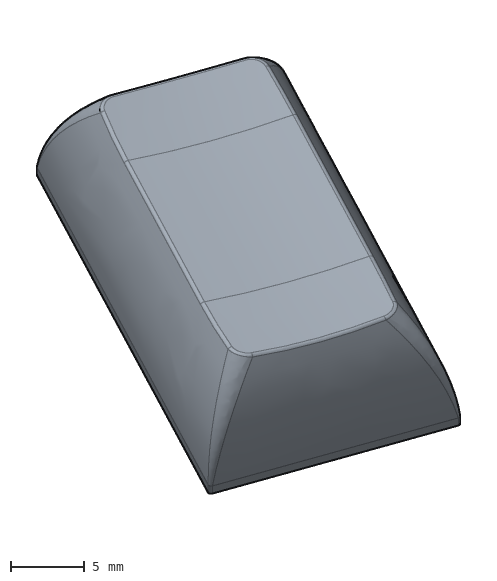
import cadquery as cq
import math

length = 32.55
width = 18.3
skirt_height = 0.78

wall_radius = 15.3
wall_start_lean = math.radians(4)
wall_top = 9.77
section_count = 6

skirt_corner_radius = 0.23
top_corner_radius = 1.4

dish_radius = 55.35
dish_bottom = 8.5
dish_straight_half = 7.15
rim_fillet = 0.33
rim_floor = 8.73


def rounded_section(z):
    """Rounded rectangular outline of the walls at height z."""
    rise = z - skirt_height
    lean = math.asin(math.sin(wall_start_lean) + rise / wall_radius)
    inset = wall_radius * (math.cos(wall_start_lean) - math.cos(lean))
    growth = rise / (wall_top - skirt_height)
    corner = skirt_corner_radius + growth * (top_corner_radius - skirt_corner_radius)
    outline = cq.Sketch().rect(length - 2 * inset, width - 2 * inset).vertices().fillet(corner)
    return outline.moved(cq.Location(cq.Vector(0, 0, z)))


def make_skirt():
    skirt = cq.Workplane("XY").box(length, width, skirt_height, centered=(True, True, False))
    return skirt.edges("|Z").fillet(skirt_corner_radius)


def make_walls():
    step = (wall_top - skirt_height) / (section_count - 1)
    sections = [rounded_section(skirt_height + i * step) for i in range(section_count)]
    return cq.Workplane("XY").placeSketch(*sections).loft()


def make_dish_cutter():
    """Capsule lying along X whose underside forms the dish."""
    diagonal = dish_radius * math.sqrt(0.5)
    end = dish_straight_half + dish_radius
    shoulder = dish_straight_half + diagonal
    profile = (
        cq.Workplane("XZ")
        .moveTo(-end, 0)
        .threePointArc((-shoulder, diagonal), (-dish_straight_half, dish_radius))
        .lineTo(dish_straight_half, dish_radius)
        .threePointArc((shoulder, diagonal), (end, 0))
        .close()
    )
    capsule = profile.revolve(360, (0, 0, 0), (1, 0, 0))
    return capsule.translate((0, 0, dish_bottom + dish_radius))


body = make_skirt().union(make_walls()).cut(make_dish_cutter())

rim = cq.selectors.BoxSelector((-length, -width, rim_floor), (length, width, wall_top))
result = body.edges(rim).fillet(rim_fillet)